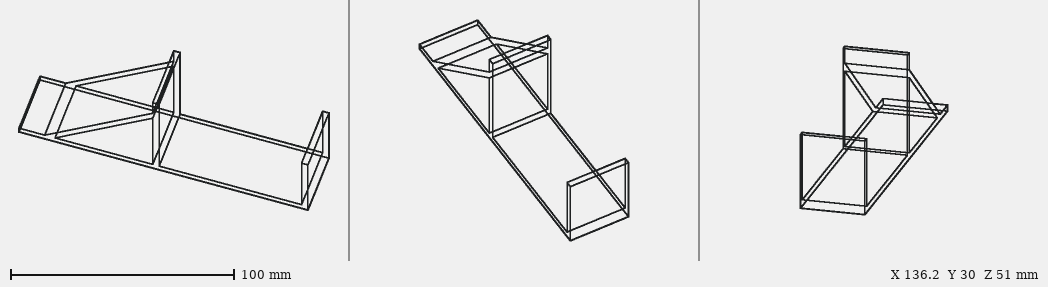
import cadquery as cq
import math

length = 136.2
width = 30.0
post_height = 51.0
end_wall_height = 35.3
thickness = 3.0
post_left = 63.1
brace_foot = 12.1
brace_top = 42.8

brace_angle = math.atan2(brace_top - thickness, post_left - brace_foot)
brace_foot_length = thickness / math.sin(brace_angle)
brace_top_length = thickness / math.cos(brace_angle)


def plate(x_start, x_size, height):
    """Upright block standing on the bottom plane, across the full width."""
    return cq.Workplane("XY").box(x_size, width, height, centered=False).translate((x_start, 0, 0))


def brace():
    """Sloping plate between the base and the tall post."""
    outline = [
        (brace_foot, thickness),
        (brace_foot + brace_foot_length, thickness),
        (post_left, brace_top - brace_top_length),
        (post_left, brace_top),
    ]
    return cq.Workplane("XZ").polyline(outline).close().extrude(-width)


base = plate(0, length, thickness)
post = plate(post_left, thickness, post_height)
end_wall = plate(length - thickness, thickness, end_wall_height)

result = base.union(post).union(end_wall).union(brace())